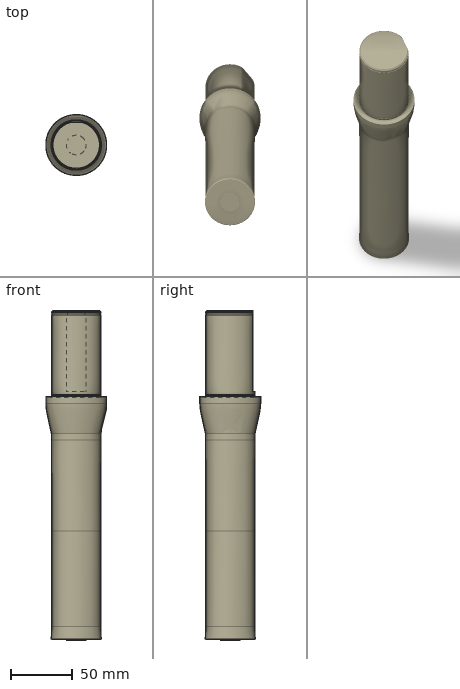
import cadquery as cq

shaft_diameter = 40.0
groove_diameter = 39.5
waist_diameter = 40.5
collar_diameter = 49.5
foot_diameter = 40.7
seat_diameter = 41.0
end_boss_diameter = 16.0

shaft_radius = shaft_diameter / 2
groove_radius = groove_diameter / 2
waist_radius = waist_diameter / 2
collar_radius = collar_diameter / 2
foot_radius = foot_diameter / 2
seat_radius = seat_diameter / 2
end_boss_radius = end_boss_diameter / 2

total_height = 268.0
collar_top = 198.0
collar_band_bottom = 192.5
waist_top = 168.3
waist_bottom = 162.7
barrel_top = 89.0
foot_top = 11.3
foot_bottom = 0.8
foot_chamfer = 0.5
foot_edge = foot_bottom + foot_chamfer

flare_lower_handle = 6.5
flare_upper_handle = 10.0

seat_depth = 0.8
shaft_bottom = collar_top - seat_depth
lower_groove_bottom = 198.9
lower_groove_top = 199.7
end_chamfer = 1.0
top_groove_top = total_height - 2.1
top_groove_bottom = total_height - 3.5
flat_offset = 18.35
flat_bottom = 202.3


def make_handle():
    """Revolved grip with a flared collar and a shallow seat that carries the shaft."""
    foot_end_slope = (2 * (shaft_radius - foot_radius), foot_top - foot_edge)
    profile = (
        cq.Workplane("XZ")
        .lineTo(end_boss_radius, 0)
        .lineTo(end_boss_radius, foot_bottom)
        .lineTo(foot_radius - foot_chamfer, foot_bottom)
        .lineTo(foot_radius, foot_edge)
        .spline([(shaft_radius, foot_top)], tangents=[(0, 1), foot_end_slope], includeCurrent=True)
        .lineTo(shaft_radius, barrel_top)
        .tangentArcPoint((waist_radius, waist_bottom), relative=False)
        .lineTo(waist_radius, waist_top)
        .bezier(
            [
                (waist_radius, waist_top + flare_lower_handle),
                (collar_radius, collar_band_bottom - flare_upper_handle),
                (collar_radius, collar_band_bottom),
            ],
            includeCurrent=True,
        )
        .lineTo(collar_radius, collar_top)
        .lineTo(seat_radius, collar_top)
        .lineTo(seat_radius, shaft_bottom)
        .lineTo(0, shaft_bottom)
        .close()
    )
    return profile.revolve(360, (0, 0, 0), (0, 1, 0))


def cut_groove(body, bottom, top):
    """Turn the shaft down to the groove diameter between two heights."""
    ring = (
        cq.Workplane("XY", origin=(0, 0, bottom))
        .circle(collar_radius)
        .circle(groove_radius)
        .extrude(top - bottom)
    )
    return body.cut(ring)


def make_shaft():
    """Round shaft with a side flat, a chamfered end and two shallow grooves."""
    shaft = (
        cq.Workplane("XY", origin=(0, 0, shaft_bottom))
        .circle(shaft_radius)
        .extrude(total_height - shaft_bottom)
        .faces(">Z")
        .chamfer(end_chamfer)
    )
    shaft = cut_groove(shaft, lower_groove_bottom, lower_groove_top)
    shaft = cut_groove(shaft, top_groove_bottom, top_groove_top)
    flat_cutter = cq.Workplane("XY").box(
        shaft_diameter, shaft_diameter, total_height - flat_bottom, centered=(True, False, False)
    )
    return shaft.cut(flat_cutter.translate((0, flat_offset, flat_bottom)))


handle = make_handle()
shaft = make_shaft()

result = cq.Compound.makeCompound([handle.val(), shaft.val()])